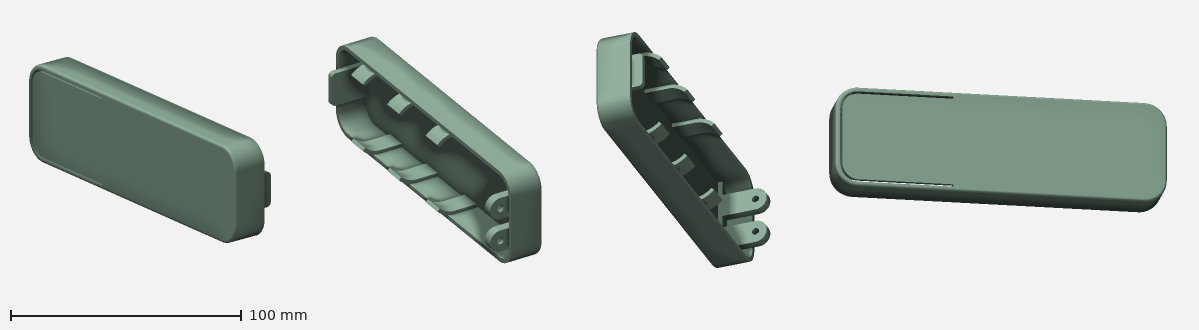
import cadquery as cq
import math

LENGTH = 146.0
WIDTH = 45.0
DEPTH = 16.0
CORNER_RADIUS = 10.0
WALL = 2.0
FRONT_ROUNDING = 1.2

SLOT_WIDTH = 1.0
SLOT_LENGTH = 50.0

LEDGE_THICKNESS = 2.0
LEDGE_GROOVE_WIDTH = 20.4
LEDGE_GROOVE_DEPTH = 1.0

LUG_THICKNESS = 4.25
LUG_SETBACK = 0.25
LUG_RADIUS = 5.25
LUG_CENTRE_HEIGHT = 3.5
LUG_OFFSET = 8.1
LUG_HOLE_DIAMETER = 3.25

TONGUE_THICKNESS = 2.75
TONGUE_WIDTH = 16.2
TONGUE_HEIGHT = 5.0
TONGUE_ROUNDING = 2.0

CLIP_STARTS = (52.0, 84.0, 114.0)
CLIP_WIDTH = 9.75
CLIP_THICKNESS = 1.75
CLIP_BEND_RADIUS = 12.5
CLIP_BEND_DEPTH = 3.25
CLIP_HEIGHT = 5.8

LEFT = -LENGTH / 2
RIGHT = LENGTH / 2
FLAP_LEFT = LEFT + WALL + SLOT_WIDTH
LUG_LEFT = FLAP_LEFT + LUG_SETBACK
LUG_RIGHT = LUG_LEFT + LUG_THICKNESS
LEDGE_BACK = WALL + LEDGE_THICKNESS


def block(x_range, y_range, z_range):
    """Box that spans the given (low, high) range on each axis."""
    lows, highs = zip(x_range, y_range, z_range)
    sizes = [high - low for low, high in zip(lows, highs)]
    return cq.Workplane("XY").box(*sizes, centered=False).translate(lows)


def rounded_prism(inset, y_start, y_end):
    """Body outline moved inward by the inset and extruded between two depths."""
    return (
        cq.Workplane("XZ", origin=(0, y_start, 0))
        .rect(LENGTH - 2 * inset, WIDTH - 2 * inset)
        .extrude(y_start - y_end)
        .edges("|Y")
        .fillet(CORNER_RADIUS - inset)
    )


def make_shell():
    outside = rounded_prism(0, 0, DEPTH).faces("<Y").edges().fillet(FRONT_ROUNDING)
    return outside.cut(rounded_prism(WALL, WALL, DEPTH))


def make_slot():
    """Ring along the inside of the wall, kept only over the left part of the front plate."""
    ring = rounded_prism(WALL, 0, WALL).cut(rounded_prism(WALL + SLOT_WIDTH, 0, WALL))
    left_part = block((LEFT, LEFT + WALL + SLOT_LENGTH), (0, WALL), (-WIDTH / 2, WIDTH / 2))
    return ring.intersect(left_part)


def make_ledge():
    """Strip across the left end that backs the slot, with a shallow groove at mid-width."""
    end_zone = block((LEFT, LUG_RIGHT), (WALL, LEDGE_BACK), (-WIDTH / 2, WIDTH / 2))
    ledge = rounded_prism(WALL / 2, WALL, LEDGE_BACK).intersect(end_zone)
    groove = block(
        (LEFT + WALL, FLAP_LEFT),
        (WALL, WALL + LEDGE_GROOVE_DEPTH),
        (-LEDGE_GROOVE_WIDTH / 2, LEDGE_GROOVE_WIDTH / 2),
    )
    return ledge.cut(groove)


def make_lug(z_centre):
    """Round-ended plate that rises from the ledge past the rim, pierced along X."""
    y_centre = DEPTH + LUG_CENTRE_HEIGHT
    plate = block(
        (LUG_LEFT, LUG_RIGHT),
        (LEDGE_BACK, y_centre),
        (z_centre - LUG_RADIUS, z_centre + LUG_RADIUS),
    )
    axis_plane = cq.Workplane("YZ", origin=(LUG_LEFT, y_centre, z_centre))
    tip = axis_plane.circle(LUG_RADIUS).extrude(LUG_THICKNESS)
    hole = axis_plane.circle(LUG_HOLE_DIAMETER / 2).extrude(LUG_THICKNESS)
    return plate.union(tip).cut(hole)


def make_tongue():
    """Plate against the right wall with two rounded top corners."""
    inner_face = RIGHT - WALL
    plate = block(
        (inner_face - TONGUE_THICKNESS, inner_face),
        (WALL, DEPTH + TONGUE_HEIGHT),
        (-TONGUE_WIDTH / 2, TONGUE_WIDTH / 2),
    )
    return plate.faces(">Y").edges("|X").fillet(TONGUE_ROUNDING)


def make_clip(start):
    """Upper clip: straight up the wall, then curved toward mid-width from just below the rim."""
    z_outer = WIDTH / 2 - WALL
    z_inner = z_outer - CLIP_THICKNESS
    y_bend = DEPTH - CLIP_BEND_DEPTH
    z_bend_centre = z_outer - CLIP_BEND_RADIUS
    inner_radius = CLIP_BEND_RADIUS - CLIP_THICKNESS
    tip_angle = math.asin((CLIP_BEND_DEPTH + CLIP_HEIGHT) / CLIP_BEND_RADIUS)

    def bend_point(radius, angle):
        return (y_bend + radius * math.sin(angle), z_bend_centre + radius * math.cos(angle))

    return (
        cq.Workplane("YZ", origin=(LEFT + start, 0, 0))
        .moveTo(WALL, z_outer)
        .lineTo(y_bend, z_outer)
        .threePointArc(bend_point(CLIP_BEND_RADIUS, tip_angle / 2), bend_point(CLIP_BEND_RADIUS, tip_angle))
        .lineTo(*bend_point(inner_radius, tip_angle))
        .threePointArc(bend_point(inner_radius, tip_angle / 2), (y_bend, z_inner))
        .lineTo(WALL, z_inner)
        .close()
        .extrude(CLIP_WIDTH)
    )


result = make_shell().cut(make_slot()).union(make_ledge()).union(make_tongue())
for side in (-1, 1):
    result = result.union(make_lug(side * LUG_OFFSET))
for clip_start in CLIP_STARTS:
    upper_clip = make_clip(clip_start)
    result = result.union(upper_clip).union(upper_clip.mirror("XY"))